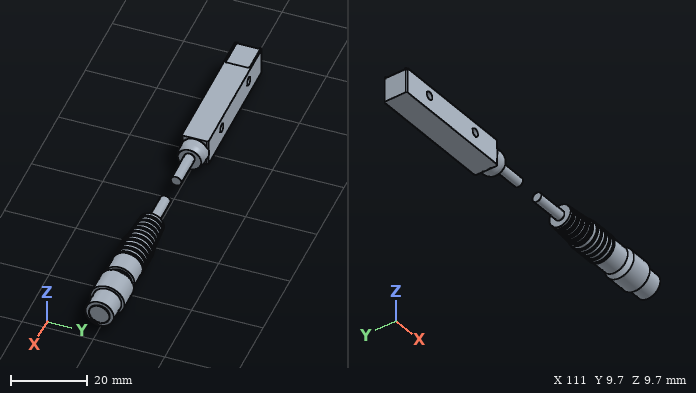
import cadquery as cq

OVERALL_LENGTH = 111.0

HOUSING_LENGTH = 40.0
HOUSING_WIDTH = 7.5
HOUSING_HEIGHT = 8.0
CORNER_CHAMFER = 0.39

RECESS_LENGTH = 8.5
RECESS_SIDE_WALL = 0.39
RECESS_DEPTH = 0.3
RECESS_CORNER_RADIUS = 0.7
RECESS_OVERRUN = 0.1

HOLE_DIAMETER = 2.4
HOLE_X = 10.0
HOLE_SPACING = 20.0
HOLE_Z = 0.2

GLAND_AXIS_Z = -0.61
GLAND_BASE_DIAMETER = 7.8
GLAND_SHOULDER_DIAMETER = 7.7
GLAND_TIP_DIAMETER = 6.5
GLAND_SHOULDER_X = 42.3
GLAND_TIP_X = 44.0
HOUSING_BOTTOM_Z = GLAND_AXIS_Z - GLAND_BASE_DIAMETER / 2
HOUSING_TOP_Z = HOUSING_BOTTOM_Z + HOUSING_HEIGHT

CABLE_DIAMETER = 3.0
SENSOR_CABLE_END_X = 54.0
CONNECTOR_CABLE_START_X = 62.0

BOOT_START_X = 72.1
GRIP_START_X = 81.1
RIB_COUNT = 5
RIB_PITCH = (GRIP_START_X - BOOT_START_X) / RIB_COUNT
RIB_WIDTH = 1.0
FIRST_RIB_DIAMETER = 7.0
LAST_RIB_DIAMETER = 8.0
GROOVE_DEPTH = 0.24

GRIP_END_X = 96.0
GRIP_DIAMETER = 8.5
RING_COUNT = 5
RING_START_X = 82.4
RING_WIDTH = 0.5
RING_DIAMETER = 9.0

NECK_DIAMETER = 6.5
NECK_MIDDLE_X = 96.6
NUT_CONE_START_X = 97.0
NUT_CONE_START_DIAMETER = 7.2
NUT_START_X = 98.0
NUT_END_X = 105.0
NUT_DIAMETER = 9.7
PLUG_END_X = 110.7
PLUG_DIAMETER = 8.0
PLUG_TIP_DIAMETER = 5.8


def cylinder(start_x, end_x, diameter):
    """Solid cylinder on the cable axis between two X positions."""
    return cq.Workplane("YZ", origin=(start_x, 0, 0)).circle(diameter / 2).extrude(end_x - start_x)


def top_recess():
    """Cutter for the rounded recess, overrunning the sensing end so that its front stays open."""
    width = HOUSING_WIDTH - 2 * RECESS_SIDE_WALL
    return (
        cq.Workplane("XY", origin=(-RECESS_OVERRUN, 0, HOUSING_TOP_Z - RECESS_DEPTH))
        .box(RECESS_LENGTH + RECESS_OVERRUN, width, RECESS_DEPTH, centered=(False, True, False))
        .edges("|Z")
        .fillet(RECESS_CORNER_RADIUS)
    )


def mounting_holes():
    """Cutter for the two holes that pass through along Y."""
    return (
        cq.Workplane("XZ", origin=(0, HOUSING_WIDTH / 2, 0))
        .pushPoints([(HOLE_X, HOLE_Z), (HOLE_X + HOLE_SPACING, HOLE_Z)])
        .circle(HOLE_DIAMETER / 2)
        .extrude(HOUSING_WIDTH)
    )


def cable_gland():
    """Slightly tapered gland with a domed tip, rooted in the housing end."""
    root_x = HOUSING_LENGTH - CORNER_CHAMFER
    shoulder_radius = GLAND_SHOULDER_DIAMETER / 2
    tip_radius = GLAND_TIP_DIAMETER / 2
    return (
        cq.Workplane("XY", origin=(0, 0, GLAND_AXIS_Z))
        .moveTo(root_x, 0)
        .lineTo(root_x, GLAND_BASE_DIAMETER / 2)
        .lineTo(GLAND_SHOULDER_X, shoulder_radius)
        .tangentArcPoint((GLAND_TIP_X, tip_radius), relative=False)
        .lineTo(GLAND_TIP_X, 0)
        .close()
        .revolve(360, (0, 0, 0), (1, 0, 0))
    )


def make_sensor():
    """Housing, gland and cable stub as one solid."""
    body = (
        cq.Workplane("XY", origin=(0, 0, HOUSING_BOTTOM_Z))
        .box(HOUSING_LENGTH, HOUSING_WIDTH, HOUSING_HEIGHT, centered=(False, True, False))
        .edges("|Z")
        .chamfer(CORNER_CHAMFER)
    )
    body = body.cut(top_recess()).cut(mounting_holes())
    body = body.union(cable_gland())
    return body.union(cylinder(GLAND_SHOULDER_X, SENSOR_CABLE_END_X, CABLE_DIAMETER))


def add_strain_relief(body):
    """Add the ribs, each followed by a groove shallower than its own rib."""
    diameter_step = (LAST_RIB_DIAMETER - FIRST_RIB_DIAMETER) / (RIB_COUNT - 1)
    for index in range(RIB_COUNT):
        rib_x = BOOT_START_X + index * RIB_PITCH
        rib_diameter = FIRST_RIB_DIAMETER + index * diameter_step
        groove_diameter = rib_diameter - 2 * GROOVE_DEPTH
        body = body.union(cylinder(rib_x, rib_x + RIB_WIDTH, rib_diameter))
        body = body.union(cylinder(rib_x + RIB_WIDTH, rib_x + RIB_PITCH, groove_diameter))
    return body


def add_grip(body):
    """Add the grip cylinder with its raised rings."""
    body = body.union(cylinder(GRIP_START_X, GRIP_END_X, GRIP_DIAMETER))
    for index in range(RING_COUNT):
        ring_x = RING_START_X + index * RIB_PITCH
        body = body.union(cylinder(ring_x, ring_x + RING_WIDTH, RING_DIAMETER))
    return body


def neck_and_nut_cone():
    """Rounded neck groove between grip and nut, running into the conical front of the nut."""
    return (
        cq.Workplane("XY")
        .moveTo(GRIP_END_X, 0)
        .lineTo(GRIP_END_X, GRIP_DIAMETER / 2)
        .threePointArc((NECK_MIDDLE_X, NECK_DIAMETER / 2), (NUT_CONE_START_X, NUT_CONE_START_DIAMETER / 2))
        .lineTo(NUT_START_X, NUT_DIAMETER / 2)
        .lineTo(NUT_START_X, 0)
        .close()
        .revolve(360, (0, 0, 0), (1, 0, 0))
    )


def add_nut_and_plug(body):
    """Add the neck, the coupling nut and the stepped plug."""
    body = body.union(neck_and_nut_cone())
    body = body.union(cylinder(NUT_START_X, NUT_END_X, NUT_DIAMETER))
    body = body.union(cylinder(NUT_END_X, PLUG_END_X, PLUG_DIAMETER))
    return body.union(cylinder(PLUG_END_X, OVERALL_LENGTH, PLUG_TIP_DIAMETER))


def make_connector():
    """Cable stub, strain relief, grip, nut and plug as one solid."""
    body = cylinder(CONNECTOR_CABLE_START_X, BOOT_START_X, CABLE_DIAMETER)
    body = add_strain_relief(body)
    body = add_grip(body)
    return add_nut_and_plug(body)


sensor = make_sensor()
connector = make_connector()

result = cq.Compound.makeCompound([sensor.val(), connector.val()])